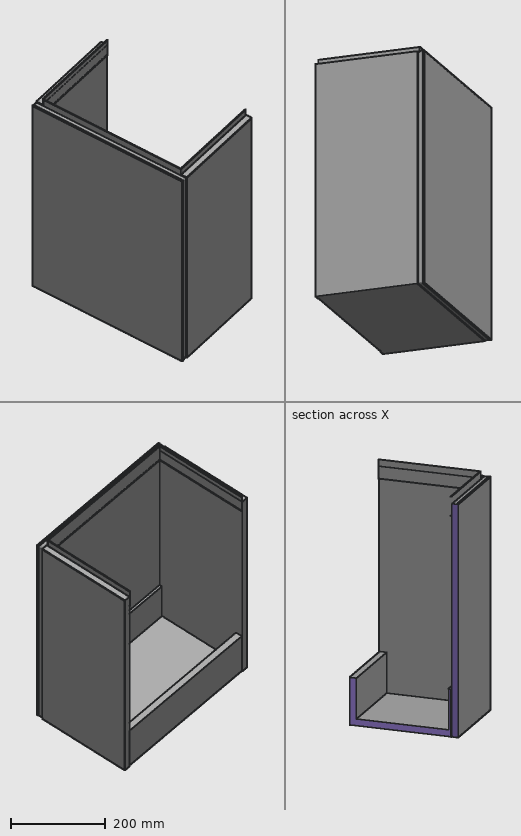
import cadquery as cq

width = 396.0
depth = 246.0
height = 534.0

board = 16.0
carcass_front = 16.0
carcass_height = 519.5
board_easing = 1.0
back_inset = 1.5
rail_height = 107.0
front_lip = 6.5

door_side_inset = 1.35
door_back = 15.0
front_sheet = 4.0
core_rounding = 2.5
front_easing = 0.8

strip_thickness = 2.0
strip_height = 42.5
strip_bend_radius = 2.0

inner_half_width = width / 2 - board


def block(x_range, y_range, z_range):
    """Box between the given start and end along each axis."""
    starts, sizes = zip(*((start, end - start) for start, end in (x_range, y_range, z_range)))
    return cq.Workplane("XY").box(*sizes, centered=False).translate(starts)


def make_side_board():
    """Right side board, with its long top edges and outer rear edge eased."""
    side = block((inner_half_width, width / 2), (carcass_front, depth), (0, carcass_height))
    side = side.faces(">Z").edges("|Y").chamfer(board_easing)
    return side.faces(">X").edges(">Y").chamfer(board_easing)


def make_carcass():
    """Two side boards joined by a floor, a rear rail and a front lip."""
    inside = (-inner_half_width, inner_half_width)
    back = depth - back_inset
    floor = block(inside, (carcass_front, back), (0, board))
    rear_rail = block(inside, (back - board, back), (0, rail_height))
    lip = block(inside, (carcass_front, carcass_front + front_lip), (0, rail_height))
    right_side = make_side_board()
    left_side = right_side.mirror("YZ")
    return right_side.union(left_side).union(floor).union(rear_rail).union(lip)


def make_door():
    """Front sheet with eased front edges, on a core that is rounded on all its edges."""
    half_width = width / 2 - door_side_inset
    across = (-half_width, half_width)
    core = block(across, (front_sheet, door_back), (0, carcass_height)).edges().fillet(core_rounding)
    sheet = block(across, (0, front_sheet), (0, carcass_height))
    sheet = sheet.faces("<Y").edges().chamfer(front_easing)
    return core.union(sheet)


def make_strip():
    """U-shaped strip between the side boards, open to the rear and standing above them."""
    levels = (height - strip_height, height)
    outer = block((-inner_half_width, inner_half_width), (carcass_front, depth), levels)
    outer = outer.edges("|Z and <Y").fillet(strip_bend_radius)
    opening_half_width = inner_half_width - strip_thickness
    opening = block(
        (-opening_half_width, opening_half_width),
        (carcass_front + strip_thickness, depth),
        levels,
    )
    return outer.cut(opening)


carcass = make_carcass()
door = make_door()
strip = make_strip()

result = cq.Compound.makeCompound([carcass.val(), door.val(), strip.val()])